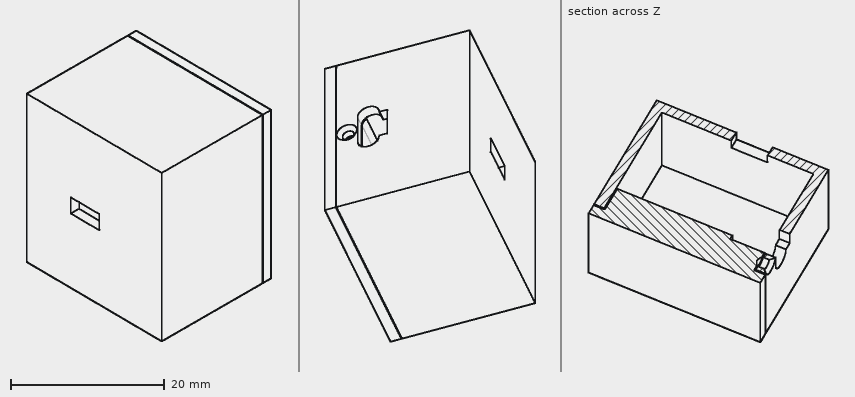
import cadquery as cq

width = 25.0
depth = 20.1
height = 27.0

wall = 1.5
clearance = 0.1
lid_thickness = 1.5
lid_front = depth - lid_thickness
housing_depth = lid_front - clearance
plug_front = 14.88

window_left = 8.15
window_width = 5.25
window_bottom = 11.93
window_height = 2.6

side_center_z = 13.75
port_y = 14.05
port_width = 3.0
port_height = 7.5
notch_front = 11.42
notch_height = 4.5
recess_offset = 0.05
recess_width = port_width - 2 * recess_offset
recess_height = port_height - 2 * recess_offset
recess_length = 5.0

screw_y = 17.05
screw_outer_diameter = 2.78
screw_inner_diameter = 1.6
countersink_depth = (screw_outer_diameter - screw_inner_diameter) / 2
dimple_depth = 0.49


def block(x_range, y_range, z_range):
    """Box given by its limits along each axis."""
    size = [high - low for low, high in (x_range, y_range, z_range)]
    origin = (x_range[0], y_range[0], z_range[0])
    return cq.Workplane("XY").box(*size, centered=False).translate(origin)


def stadium_along_x(x_start, length, slot_width, slot_height):
    """Upright stadium prism running in +X at the port position."""
    return (
        cq.Workplane("YZ", origin=(x_start, port_y, side_center_z))
        .slot2D(slot_height, slot_width, 90)
        .extrude(length)
    )


def cone_along_x(x_start, length, start_diameter, end_diameter):
    """Cone running in +X on the screw axis."""
    return cq.Workplane(
        cq.Solid.makeCone(
            start_diameter / 2,
            end_diameter / 2,
            length,
            cq.Vector(x_start, screw_y, side_center_z),
            cq.Vector(1, 0, 0),
        )
    )


def make_housing():
    """Box open at the back, with a front window, a side port and a countersunk hole."""
    outer = block((0, width), (0, housing_depth), (0, height))
    cavity = block((wall, width - wall), (wall, housing_depth), (wall, height - wall))
    window = block(
        (window_left, window_left + window_width),
        (0, wall),
        (window_bottom, window_bottom + window_height),
    )
    port = stadium_along_x(0, wall, port_width, port_height)
    notch = block(
        (0, wall),
        (notch_front, port_y),
        (side_center_z - notch_height / 2, side_center_z + notch_height / 2),
    )
    countersink = cone_along_x(0, countersink_depth, screw_outer_diameter, screw_inner_diameter)
    screw_hole = (
        cq.Workplane("YZ")
        .center(screw_y, side_center_z)
        .circle(screw_inner_diameter / 2)
        .extrude(wall)
    )
    openings = (cavity, window, port, notch, screw_hole, countersink)
    body = outer
    for opening in openings:
        body = body.cut(opening)
    return body


def make_lid():
    """Back plate with a plug that enters the housing with clearance all round."""
    inset = wall + clearance
    plate = block((0, width), (lid_front, depth), (0, height))
    plug = block((inset, width - inset), (plug_front, lid_front), (inset, height - inset))
    port_recess = stadium_along_x(inset, recess_length, recess_width, recess_height)
    dimple = cone_along_x(inset, dimple_depth, screw_inner_diameter, 0)
    return plate.union(plug).cut(port_recess).cut(dimple)


housing = make_housing()
lid = make_lid()

result = cq.Compound.makeCompound([housing.val(), lid.val()])